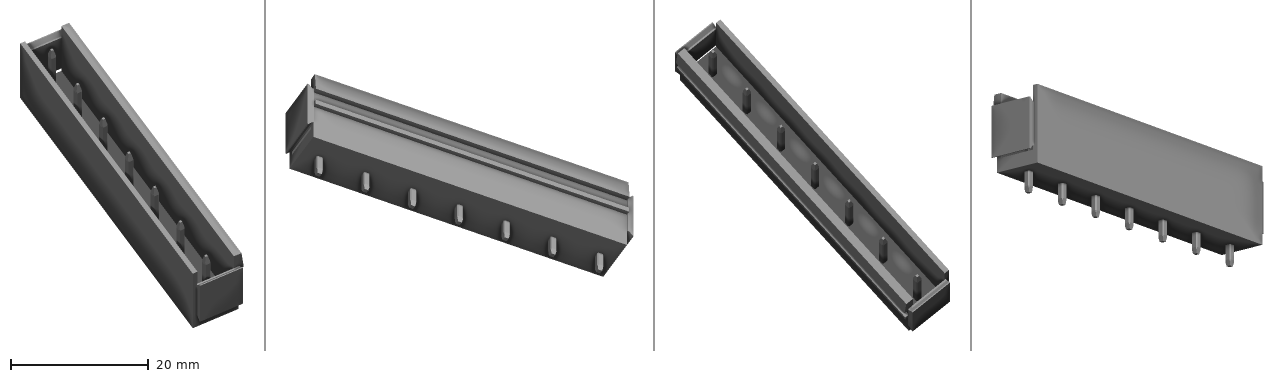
import cadquery as cq

overall_length = 53.15
housing_length = 51.1
housing_depth = 7.65
housing_height = 12.0
wall_thickness = 0.8
floor_thickness = 2.1
front_y = -housing_depth / 2
back_y = housing_depth / 2

latch_top_overhang = 0.5
latch_bottom_overhang = 0.85
latch_height = 3.2

rib_overhang = 0.7
rib_height = 0.8
rib_bottom_z = 6.0

plate_thickness = (overall_length - housing_length) / 2
plate_front_y = -3.2
plate_back_y = 4.0
plate_bottom_z = 2.05
plate_height = 7.9
plate_rim = 0.15
plate_flare = 0.6

pin_count = 7
pin_row_length = 45.7
pin_row_center_x = -0.1
pin_pitch = pin_row_length / (pin_count - 1)
pin_width = 1.0
pin_edge_chamfer = 0.15
pin_bottom_z = -3.2
pin_top_z = 11.05
lower_tip_length = 0.9
lower_tip_width = 0.65
upper_tip_length = 1.4
upper_tip_width = 0.35


def extrude_along_housing(profile_points):
    """Extrude a (Y, Z) outline over the whole housing length."""
    profile = cq.Workplane("YZ").polyline(profile_points).close()
    return profile.extrude(housing_length / 2, both=True)


def make_channel():
    front_inner_y = front_y + wall_thickness
    back_inner_y = back_y - wall_thickness
    return extrude_along_housing([
        (front_y, 0),
        (back_y, 0),
        (back_y, housing_height),
        (back_inner_y, housing_height),
        (back_inner_y, floor_thickness),
        (front_inner_y, floor_thickness),
        (front_inner_y, housing_height),
        (front_y, housing_height),
    ])


def make_latch():
    latch_bottom_z = housing_height - latch_height
    return extrude_along_housing([
        (back_y, latch_bottom_z),
        (back_y + latch_bottom_overhang, latch_bottom_z),
        (back_y + latch_top_overhang, housing_height),
        (back_y, housing_height),
    ])


def make_rib():
    rib_top_z = rib_bottom_z + rib_height
    return extrude_along_housing([
        (back_y, rib_bottom_z),
        (back_y + rib_overhang, rib_bottom_z),
        (back_y + rib_overhang, rib_top_z),
        (back_y, rib_top_z),
    ])


def make_end_plate(side):
    """End plate at side = -1 (-X) or +1 (+X), narrowing at 45 degrees toward the housing."""
    inner_x = side * housing_length / 2
    outer_x = side * (housing_length / 2 + plate_thickness)
    rim_x = outer_x - side * plate_rim
    neck_x = rim_x - side * plate_flare
    plate_top_z = plate_bottom_z + plate_height
    neck_bottom_z = plate_bottom_z + plate_flare
    neck_top_z = plate_top_z - plate_flare
    profile = cq.Workplane("XZ", origin=(0, plate_back_y, 0)).polyline([
        (inner_x, neck_bottom_z),
        (neck_x, neck_bottom_z),
        (rim_x, plate_bottom_z),
        (outer_x, plate_bottom_z),
        (outer_x, plate_top_z),
        (rim_x, plate_top_z),
        (neck_x, neck_top_z),
        (inner_x, neck_top_z),
    ]).close()
    return profile.extrude(plate_back_y - plate_front_y)


def make_pin_tip(length, end_width):
    """Pyramid frustum standing on Z = 0, from the pin width to the end width."""
    return (
        cq.Workplane("XY")
        .rect(pin_width, pin_width)
        .workplane(offset=length)
        .rect(end_width, end_width)
        .loft()
    )


def make_pin(x):
    """Square pin with chamfered long edges and a tapered tip at both ends."""
    shank_bottom_z = pin_bottom_z + lower_tip_length
    shank_top_z = pin_top_z - upper_tip_length
    shank = (
        cq.Workplane("XY", origin=(0, 0, shank_bottom_z))
        .rect(pin_width, pin_width)
        .extrude(shank_top_z - shank_bottom_z)
    )
    upper_tip = make_pin_tip(upper_tip_length, upper_tip_width).translate((0, 0, shank_top_z))
    lower_tip = (
        make_pin_tip(lower_tip_length, lower_tip_width)
        .rotate((0, 0, 0), (1, 0, 0), 180)
        .translate((0, 0, shank_bottom_z))
    )
    chamfered_bar = (
        cq.Workplane("XY", origin=(0, 0, pin_bottom_z))
        .rect(pin_width, pin_width)
        .extrude(pin_top_z - pin_bottom_z)
        .edges("|Z")
        .chamfer(pin_edge_chamfer)
    )
    return shank.union(upper_tip).union(lower_tip).intersect(chamfered_bar).translate((x, 0, 0))


pins = []
for index in range(pin_count):
    pins.append(make_pin(pin_row_center_x - pin_row_length / 2 + index * pin_pitch))

housing = make_channel().union(make_latch()).union(make_rib())
for side in (-1, 1):
    housing = housing.union(make_end_plate(side))
for pin in pins:
    housing = housing.cut(pin)

result = cq.Compound.makeCompound([housing.val(), *[pin.val() for pin in pins]])